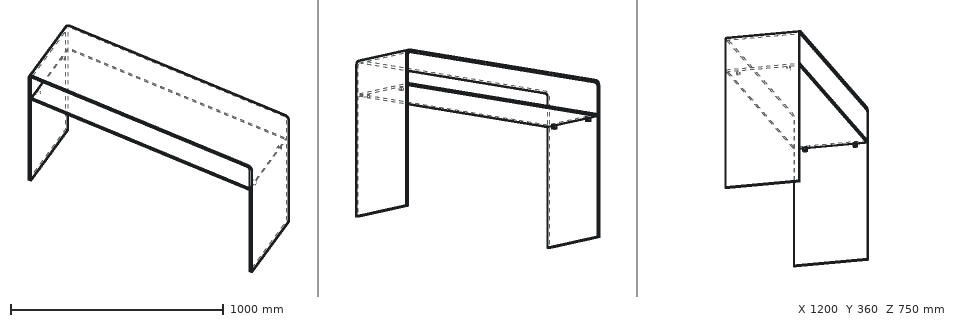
import cadquery as cq

LENGTH = 1200
DEPTH = 360
HEIGHT = 750

PANEL_THICKNESS = 12
BEND_OUTER_RADIUS = 25
BEND_INNER_RADIUS = BEND_OUTER_RADIUS - PANEL_THICKNESS

INNER_LENGTH = LENGTH - 2 * PANEL_THICKNESS
COMPARTMENT_HEIGHT = 150
SHELF_THICKNESS = 10
SHELF_END_GAP = 2
SHELF_SETBACK = 1
SHELF_LENGTH = INNER_LENGTH - 2 * SHELF_END_GAP
SHELF_DEPTH = DEPTH - 2 * SHELF_SETBACK
SHELF_BOTTOM_Z = HEIGHT - PANEL_THICKNESS - COMPARTMENT_HEIGHT - SHELF_THICKNESS

SUPPORT_SIZE = 15
SUPPORT_SETBACK = 50


def make_frame():
    """Inverted U with rounded upper corners and open front, back and bottom."""
    outer = (
        cq.Workplane("XY")
        .box(LENGTH, DEPTH, HEIGHT, centered=(True, True, False))
        .edges("|Y and >Z")
        .fillet(BEND_OUTER_RADIUS)
    )
    opening = (
        cq.Workplane("XY")
        .box(INNER_LENGTH, DEPTH, HEIGHT - PANEL_THICKNESS, centered=(True, True, False))
        .edges("|Y and >Z")
        .fillet(BEND_INNER_RADIUS)
    )
    return outer.cut(opening)


def make_shelf():
    """Flat board between the legs, resting on the supports."""
    return (
        cq.Workplane("XY", origin=(0, 0, SHELF_BOTTOM_Z))
        .box(SHELF_LENGTH, SHELF_DEPTH, SHELF_THICKNESS, centered=(True, True, False))
    )


def make_support(x_side, y_side):
    """Block against the inside of one leg, its top face carrying the shelf."""
    x_center = x_side * (INNER_LENGTH - SUPPORT_SIZE) / 2
    y_center = y_side * ((DEPTH - SUPPORT_SIZE) / 2 - SUPPORT_SETBACK)
    z_center = SHELF_BOTTOM_Z - SUPPORT_SIZE / 2
    return (
        cq.Workplane("XY", origin=(x_center, y_center, z_center))
        .box(SUPPORT_SIZE, SUPPORT_SIZE, SUPPORT_SIZE)
    )


frame = make_frame()
shelf = make_shelf()
supports = [make_support(x_side, y_side) for x_side in (-1, 1) for y_side in (-1, 1)]

result = cq.Compound.makeCompound([frame.val(), shelf.val(), *[support.val() for support in supports]])